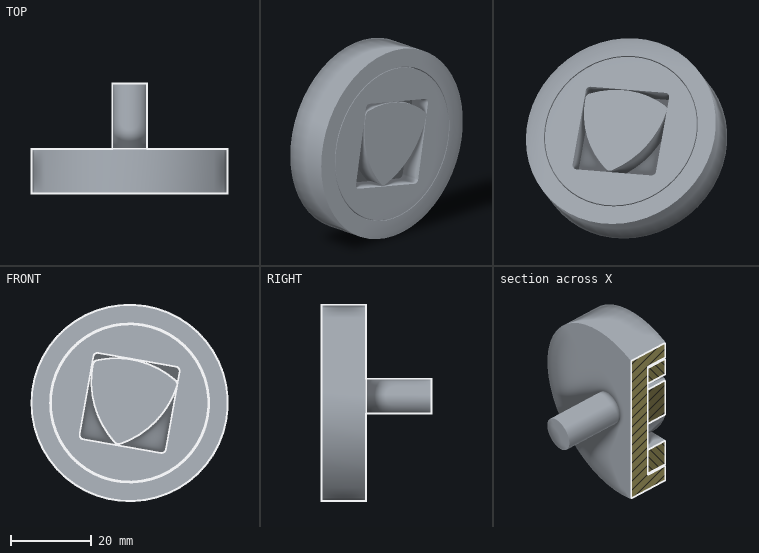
import cadquery as cq
import math

housing_diameter = 49.0
housing_depth = 11.13
recess_diameter = 39.7
recess_depth = housing_depth / 2

guide_clearance = 0.25
guide_diameter = recess_diameter - 2 * guide_clearance
window_side = 21.84
window_corner_radius = 1.1
window_tilt = 10.0

cutter_offset = 1.70
cutter_angle = 135.6
lobe_count = 3
lobe_arc_radius = 22.63
lobe_center_distance = 13.59
lobe_tip_radius = 1.4
shaft_diameter = 8.75
shaft_projection = 16.31

tip_distance = (
    math.sqrt(4 * lobe_arc_radius**2 - 3 * lobe_center_distance**2) - lobe_center_distance
) / 2
flank_distance = lobe_arc_radius - lobe_center_distance


def plane_at(y, z=0.0):
    """Plane facing +Y, with local x along -X and local y along +Z."""
    return cq.Workplane(cq.Plane(origin=(0, y, z), xDir=(-1, 0, 0), normal=(0, 1, 0)))


def polar_point(distance, angle):
    """Point at an angle counted from +X toward +Z, in the coordinates of plane_at."""
    radians = math.radians(angle)
    return (-distance * math.cos(radians), distance * math.sin(radians))


def make_housing():
    body = plane_at(0).circle(housing_diameter / 2).extrude(housing_depth)
    recess = plane_at(0).circle(recess_diameter / 2).extrude(recess_depth)
    shaft_hole = (
        plane_at(recess_depth, cutter_offset)
        .circle(shaft_diameter / 2)
        .extrude(housing_depth - recess_depth)
    )
    return body.cut(recess).cut(shaft_hole)


def make_guide():
    disc = plane_at(0).circle(guide_diameter / 2).extrude(recess_depth)
    window = (
        plane_at(0)
        .rect(window_side, window_side)
        .extrude(recess_depth)
        .edges("|Y")
        .fillet(window_corner_radius)
        .rotate((0, 0, 0), (0, 1, 0), window_tilt)
    )
    return disc.cut(window)


def make_cutter():
    lobe_pitch = 360 / lobe_count
    outline = plane_at(0, cutter_offset).moveTo(*polar_point(tip_distance, cutter_angle))
    for lobe in range(lobe_count):
        start_angle = cutter_angle + lobe * lobe_pitch
        flank_middle = polar_point(flank_distance, start_angle + lobe_pitch / 2)
        next_tip = polar_point(tip_distance, start_angle + lobe_pitch)
        outline = outline.threePointArc(flank_middle, next_tip)
    head = outline.close().extrude(recess_depth).edges("|Y").fillet(lobe_tip_radius)
    shaft = (
        plane_at(recess_depth, cutter_offset)
        .circle(shaft_diameter / 2)
        .extrude(housing_depth + shaft_projection - recess_depth)
    )
    return head.union(shaft)


housing = make_housing()
guide = make_guide()
cutter = make_cutter()

result = cq.Compound.makeCompound([housing.val(), guide.val(), cutter.val()])